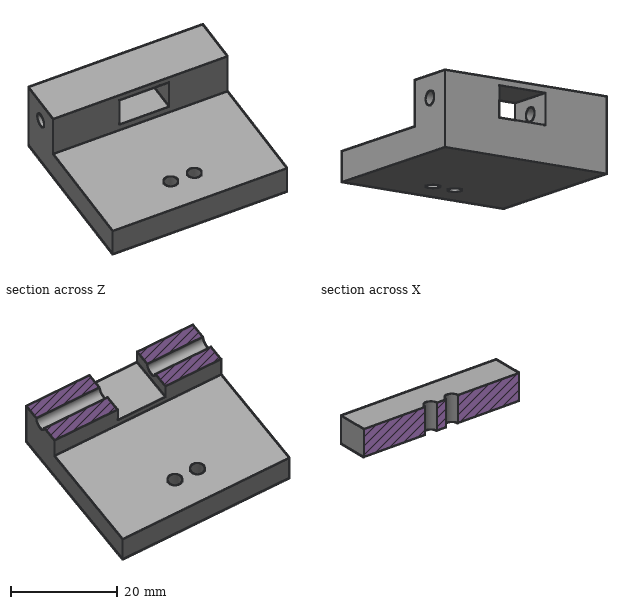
import cadquery as cq

length = 34.0
width = 37.1
height = 15.0

block_length = 10.0
plate_thickness = 6.0

hole_diameter = 2.8
cross_hole_x = block_length / 2
cross_hole_z = (plate_thickness + height) / 2
plate_hole_x = 27.0
plate_hole_spacing = 5.0

window_width = 10.57
window_height = 6.23
window_start_y = 14.1
window_bottom_z = 7.45


def make_body():
    """Flat plate with an upright block along its -X edge."""
    plate = cq.Workplane("XY").box(length, width, plate_thickness, centered=False)
    block = cq.Workplane("XY").box(block_length, width, height, centered=False)
    return plate.union(block)


def make_window():
    """Rectangular passage along X through the block."""
    window = cq.Workplane("XY").box(block_length, window_width, window_height, centered=False)
    return window.translate((0, window_start_y, window_bottom_z))


def make_cross_hole():
    """Round hole along Y through the full width of the block."""
    start = cq.Workplane("XZ").center(cross_hole_x, cross_hole_z)
    return start.circle(hole_diameter / 2).extrude(-width)


def make_plate_holes():
    """Pair of vertical holes, centred across the width of the plate."""
    start = cq.Workplane("XY").center(plate_hole_x, width / 2)
    positions = start.rarray(0.37, plate_hole_spacing, 1, 2)
    return positions.circle(hole_diameter / 2).extrude(plate_thickness)


result = make_body().cut(make_window()).cut(make_cross_hole()).cut(make_plate_holes())